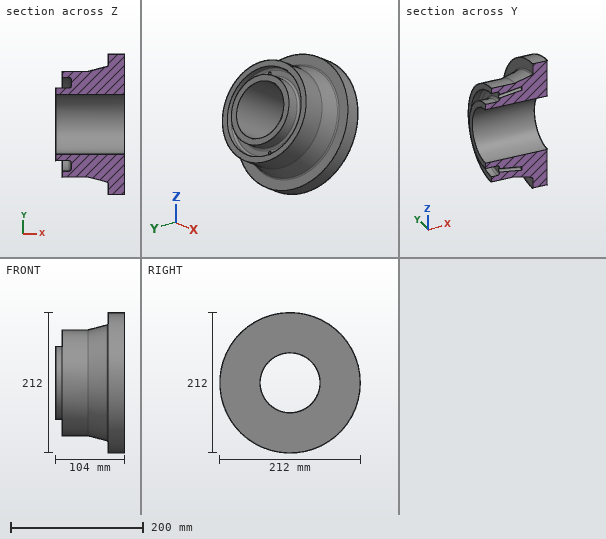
import cadquery as cq

total_length = 104.0
rim_start = 10.0
taper_start = 49.0
flange_start = 79.0
groove_floor = 23.3

flange_diameter = 212.0
taper_end_diameter = 175.7
hub_diameter = 160.0
groove_outer_diameter = 141.0
sleeve_diameter = 110.0
bore_diameter = 90.0
port_diameter = 5.0

groove_fillet = 3.4
flange_fillet = 2.1
port_depth = 38.2
port_tilt = 8.0
port_circle_radius = (groove_outer_diameter + sleeve_diameter) / 4


def cylinder(diameter, start, end):
    """Solid cylinder around the X axis between two axial positions."""
    return cq.Workplane("YZ", origin=(start, 0, 0)).circle(diameter / 2).extrude(end - start)


def make_body():
    """Flange, tapered neck, straight hub and protruding sleeve, turned about X."""
    profile = [
        (0, 0),
        (0, sleeve_diameter / 2),
        (rim_start, sleeve_diameter / 2),
        (rim_start, hub_diameter / 2),
        (taper_start, hub_diameter / 2),
        (flange_start, taper_end_diameter / 2),
        (flange_start, flange_diameter / 2),
        (total_length, flange_diameter / 2),
        (total_length, 0),
    ]
    body = cq.Workplane("XY").polyline(profile).close().revolve(360, (0, 0, 0), (1, 0, 0))
    corner = cq.selectors.RadiusNthSelector(2)
    return body.edges("%CIRCLE").edges(corner).fillet(flange_fillet)


def make_groove():
    """Annular groove between hub and sleeve with rounded floor corners."""
    outer = cylinder(groove_outer_diameter, rim_start, groove_floor)
    ring = outer.cut(cylinder(sleeve_diameter, rim_start, groove_floor))
    return ring.faces(">X").edges().fillet(groove_fillet)


def make_port(side):
    """Blind drilling that starts above the groove floor and slopes away from the X axis."""
    tool = cylinder(port_diameter, -groove_fillet, port_depth)
    tilted = tool.rotate((0, 0, 0), (0, 1, 0), -side * port_tilt)
    return tilted.translate((groove_floor, 0, side * port_circle_radius))


result = make_body().cut(make_groove()).cut(cylinder(bore_diameter, 0, total_length))
for side in (1, -1):
    result = result.cut(make_port(side))